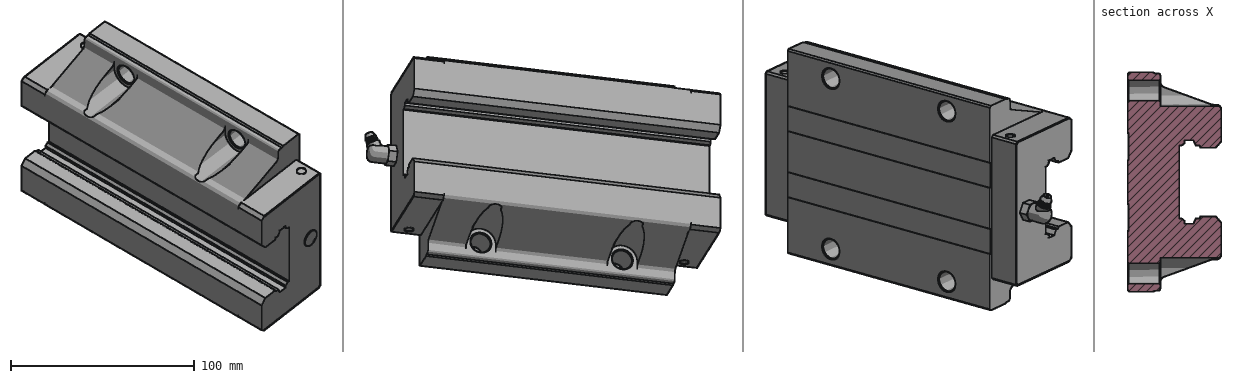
import cadquery as cq
import math

depth = 51.1
flange_width = 120.0
flange_half_width = flange_width / 2
carriage_length = 139.8
cap_length = 16.8
block_length = carriage_length + 2 * cap_length

body_half_width = 42.3
body_edge_radius = 2.9
relief_depth = 0.5
relief_half_width = flange_half_width - relief_depth
relief_start_y = 37.4
relief_full_y = 36.2
flange_face_y = 33.2
flange_edge_radius = 1.5
mounting_chamfer = 1.0
flank_angle = math.radians(20)
flank_root_radius = 2.9
flank_foot_y = 4.5
flank_foot_radius = 3.2

groove_inner_z = 12.0
groove_outer_z = 26.7
groove_depth = 0.4

cap_half_width = body_half_width
cap_depth = 49.4
cap_back_chamfer = 1.1
cap_front_chamfer_y = 2.3
cap_front_chamfer_z = 2.0
cap_end_step = 0.2
cap_end_inset = 0.5
cap_port_diameter = 5.1
cap_port_depth = 0.5
cap_port_inset = 8.8
cap_port_x = block_length / 2 - cap_port_inset
cap_port_y = 43.3

channel_half_outline = [
    (0, 22.1),
    (3.0, 18.7),
    (11.5, 18.7),
    (11.8, 19.8),
    (14.0, 19.8),
    (15.3, 22.7),
    (20.0, 22.7),
    (20.0, 21.2),
    (21.7, 19.8),
    (22.9, 19.8),
]

hole_spacing_x = 80.0
hole_spacing_z = 100.0
hole_diameter = 11.0
hole_chamfer = 0.5
pocket_radius = 8.4

port_y = 40.5
hex_flats = 10.0
hex_length = 4.8
elbow_diameter = 9.7
plug_diameter = elbow_diameter
plug_height = 0.69
elbow_length = 15.5
elbow_end_radius = 2.9
nipple_offset = 10.0
nipple_tilt = 22.5
collar_radius = 3.8
collar_top = 6.5
waist_radius = 2.7
waist_top = 7.8
rim_radius = 3.2
rim_top = 8.5
neck_radius = 1.5
head_bottom = 9.7
head_radius = 3.2
head_top = 12.5
tip_radius = 2.1
tip_hole_diameter = 1.5
tip_hole_depth = 1.0


def extrude_along_x(outline, length):
    """Extrude a YZ outline symmetrically about X = 0."""
    return outline.extrude(length / 2, both=True)


def mirrored(shape):
    """Join a shape with its mirror image across Z = 0."""
    return shape.union(shape.mirror("XY"))


def foot_fillet_point(turn):
    """Point on the fillet at the flank foot, where the surface has turned by the given angle."""
    return (
        flank_foot_y + flank_foot_radius * math.sin(turn),
        body_half_width + flank_foot_radius * (1 - math.cos(turn)),
    )


def carriage_half():
    """Upper half of the steel section; its flank runs tangent into both fillets."""
    root_turn = math.pi / 2 - flank_angle
    foot_point = foot_fillet_point(flank_angle)
    root_y = flange_face_y - flank_root_radius * (1 - math.cos(root_turn))
    root_z = foot_point[1] + (root_y - foot_point[0]) * math.tan(flank_angle)
    shoulder_z = root_z + flank_root_radius * math.sin(root_turn)
    root_mid = (
        flange_face_y - flank_root_radius * (1 - math.cos(root_turn / 2)),
        shoulder_z - flank_root_radius * math.sin(root_turn / 2),
    )
    outline = (
        cq.Workplane("YZ")
        .moveTo(0, 0)
        .lineTo(depth, 0)
        .lineTo(depth, flange_half_width - mounting_chamfer)
        .lineTo(depth - mounting_chamfer, flange_half_width)
        .lineTo(relief_start_y, flange_half_width)
        .lineTo(relief_full_y, relief_half_width)
        .lineTo(flange_face_y + flange_edge_radius, relief_half_width)
        .radiusArc((flange_face_y, relief_half_width - flange_edge_radius), -flange_edge_radius)
        .lineTo(flange_face_y, shoulder_z)
        .threePointArc(root_mid, (root_y, root_z))
        .lineTo(*foot_point)
        .threePointArc(foot_fillet_point(flank_angle / 2), (flank_foot_y, body_half_width))
        .lineTo(body_edge_radius, body_half_width)
        .radiusArc((0, body_half_width - body_edge_radius), -body_edge_radius)
        .close()
    )
    return extrude_along_x(outline, carriage_length)


def mounting_grooves():
    width = groove_outer_z - groove_inner_z
    groove = cq.Workplane("XY").box(carriage_length, groove_depth, width)
    center = (0, depth - groove_depth / 2, (groove_inner_z + groove_outer_z) / 2)
    return mirrored(groove.translate(center))


def cap_bar(inset, length):
    """Bar of the cap section, drawn in from the back, top and bottom by the inset."""
    back_y = cap_depth - inset
    top_z = cap_half_width - inset
    front_z = cap_half_width - cap_front_chamfer_z
    top_front_y = cap_front_chamfer_y * (1 - inset / cap_front_chamfer_z)
    outline = (
        cq.Workplane("YZ")
        .moveTo(0, 0)
        .lineTo(back_y, 0)
        .lineTo(back_y, top_z - cap_back_chamfer)
        .lineTo(back_y - cap_back_chamfer, top_z)
        .lineTo(top_front_y, top_z)
        .lineTo(0, front_z)
        .close()
    )
    return mirrored(extrude_along_x(outline, length))


def cap_blocks():
    """Both caps: the ends of a bar with a small step around each end face."""
    bar = cap_bar(0, block_length - 2 * cap_end_step).union(cap_bar(cap_end_inset, block_length))
    gap = cq.Workplane("XY").box(carriage_length, 2 * cap_depth, 2 * cap_half_width)
    return bar.cut(gap)


def rail_channel():
    lower_half = [(y, -z) for y, z in reversed(channel_half_outline)]
    outline = cq.Workplane("YZ").polyline(channel_half_outline + lower_half).close()
    return extrude_along_x(outline, block_length)


def cap_ports():
    """Shallow round recesses in the top and bottom of each cap."""
    recess = (
        cq.Workplane("XY", origin=(0, cap_port_y, cap_half_width - cap_port_depth))
        .pushPoints([(-cap_port_x, 0), (cap_port_x, 0)])
        .circle(cap_port_diameter / 2)
        .extrude(cap_port_depth)
    )
    return mirrored(recess)


def mounting_hole():
    """Through hole with chamfered rims and a U-shaped pocket down to the flange face."""
    mouth_radius = hole_diameter / 2 + hole_chamfer
    profile = [
        (0, flange_face_y),
        (mouth_radius, flange_face_y),
        (hole_diameter / 2, flange_face_y + hole_chamfer),
        (hole_diameter / 2, depth - hole_chamfer),
        (mouth_radius, depth),
        (0, depth),
    ]
    bore = cq.Workplane("XY").polyline(profile).close().revolve(360, (0, 0, 0), (0, 1, 0))
    pocket = cq.Workplane("XZ").circle(pocket_radius).extrude(-flange_face_y)
    slot_height = flange_half_width - hole_spacing_z / 2
    slot = cq.Workplane("XY").box(
        2 * pocket_radius, flange_face_y, slot_height, centered=(True, False, False)
    )
    return bore.union(pocket).union(slot)


def mounting_holes():
    hole = mounting_hole().translate((0, 0, hole_spacing_z / 2))
    pair = hole.translate((-hole_spacing_x / 2, 0, 0)).union(hole.translate((hole_spacing_x / 2, 0, 0)))
    return mirrored(pair)


def nipple_head():
    """Turned connector whose axis is the local Z axis."""
    profile = [
        (0, 0),
        (collar_radius, 0),
        (collar_radius, collar_top),
        (waist_radius, collar_top),
        (waist_radius, waist_top),
        (rim_radius, waist_top),
        (rim_radius, rim_top),
        (neck_radius, rim_top),
        (neck_radius, head_bottom),
        (head_radius, head_bottom),
        (tip_radius, head_top),
        (0, head_top),
    ]
    head = cq.Workplane("XZ").polyline(profile).close().revolve(360, (0, 0, 0), (0, 1, 0))
    return head.faces(">Z").workplane().hole(tip_hole_diameter, tip_hole_depth)


def grease_nipple():
    port = cq.Workplane("YZ", origin=(-block_length / 2, port_y, 0))
    hex_base = port.polygon(6, hex_flats / math.cos(math.pi / 6)).extrude(-hex_length)
    elbow = port.circle(elbow_diameter / 2).extrude(-elbow_length)
    elbow = elbow.faces("<X").edges().fillet(elbow_end_radius)
    head = (
        nipple_head()
        .rotate((0, 0, 0), (0, 1, 0), -nipple_tilt)
        .translate((-block_length / 2 - nipple_offset, port_y, 0))
    )
    return elbow.union(hex_base).union(head)


def end_plug():
    port = cq.Workplane("YZ", origin=(block_length / 2, port_y, 0))
    return port.circle(plug_diameter / 2).extrude(plug_height)


carriage = mirrored(carriage_half()).cut(mounting_grooves()).cut(mounting_holes())
caps = cap_blocks().cut(cap_ports())
block = carriage.union(caps).cut(rail_channel())
result = block.union(grease_nipple()).union(end_plug())